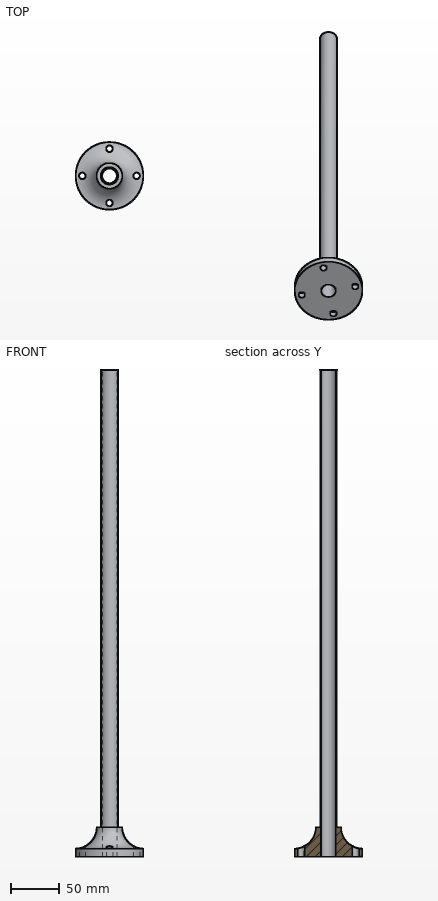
import cadquery as cq
import math

TUBE_OUTER_DIAMETER = 18.0
TUBE_BORE_DIAMETER = 15.0
TOTAL_HEIGHT = 502.2

FLANGE_DIAMETER = 70.0
RIM_THICKNESS = 8.5
COLLAR_DIAMETER = 26.5
BASE_HEIGHT = 30.5
FLARE_RADIUS = 22.0

HOLE_DIAMETER = 6.5
HOLE_CIRCLE_DIAMETER = 56.0
HOLE_COUNT = 4


def flare_midpoint(start, end, radius):
    """Middle of the concave arc from start to end, bulging toward the axis and the floor."""
    run = end[0] - start[0]
    drop = start[1] - end[1]
    chord = math.hypot(run, drop)
    sagitta = radius - math.sqrt(radius**2 - (chord / 2) ** 2)
    middle_r = (start[0] + end[0]) / 2 - sagitta * drop / chord
    middle_z = (start[1] + end[1]) / 2 - sagitta * run / chord
    return (middle_r, middle_z)


def make_base():
    """Round flange whose top sweeps up in a concave flare to a flat collar."""
    flange_radius = FLANGE_DIAMETER / 2
    collar_edge = (COLLAR_DIAMETER / 2, BASE_HEIGHT)
    rim_edge = (flange_radius, RIM_THICKNESS)
    half_section = (
        cq.Workplane("XZ")
        .lineTo(0, BASE_HEIGHT)
        .lineTo(*collar_edge)
        .threePointArc(flare_midpoint(collar_edge, rim_edge, FLARE_RADIUS), rim_edge)
        .lineTo(flange_radius, 0)
        .close()
    )
    return half_section.revolve(360, (0, 0, 0), (0, 1, 0))


def make_tube():
    """Solid post from the floor to the full height."""
    return cq.Workplane("XY").circle(TUBE_OUTER_DIAMETER / 2).extrude(TOTAL_HEIGHT)


def make_bore():
    """Bore running the whole length of the tube and through the base."""
    return cq.Workplane("XY").circle(TUBE_BORE_DIAMETER / 2).extrude(TOTAL_HEIGHT)


def make_mounting_holes():
    """Vertical through holes on the axes, evenly spaced around the flange."""
    return (
        cq.Workplane("XY")
        .polarArray(HOLE_CIRCLE_DIAMETER / 2, 0, 360, HOLE_COUNT)
        .circle(HOLE_DIAMETER / 2)
        .extrude(BASE_HEIGHT)
    )


result = make_base().union(make_tube()).cut(make_bore()).cut(make_mounting_holes())